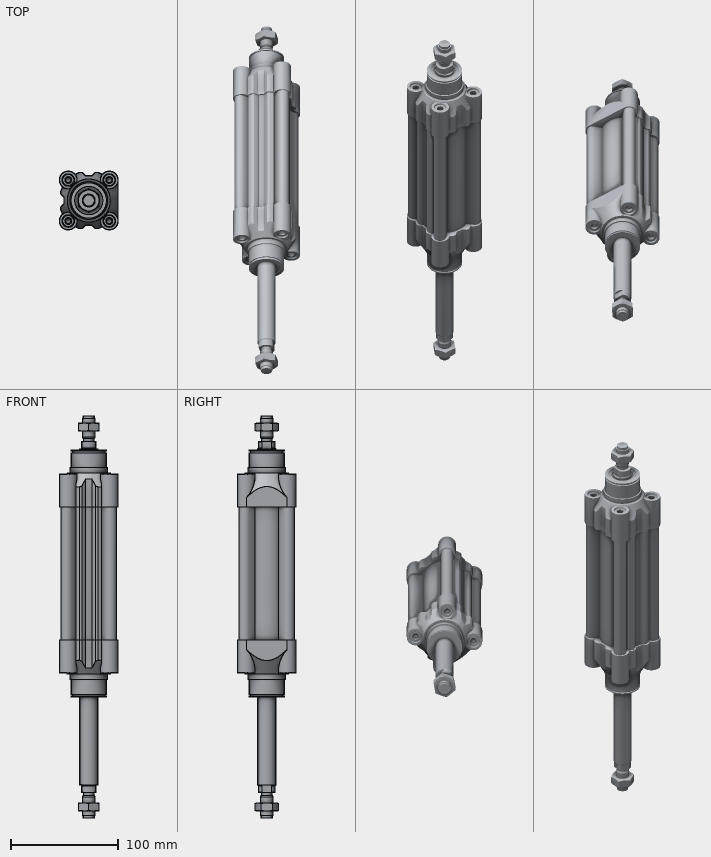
import cadquery as cq
import math

TOP, BOTTOM = 1, -1

total_length = 373.0
cap_width = 54.5
lower_rod_reach = 226.8
upper_rod_reach = total_length - lower_rod_reach

barrel_half_length = 61.5
cap_end = 92.0
shoulder_end = 93.2
collar_end = 98.0
nose_end = 114.5

tube_diameter = 43.3
barrel_lobe_offset = 20.0
barrel_lobe_radius = 5.5
barrel_rib_height = 24.5

cap_lobe_offset = 19.0
cap_lobe_radius = cap_width / 2 - cap_lobe_offset
cap_core_width = 46.3
cap_rib_height = 26.0
port_face_half_width = 18.5
shoulder_diameter = 40.0
shoulder_angle = 30.0
collar_diameter = 35.0
nose_diameter = 33.0
nose_lip = 1.0
nose_groove_width = 1.5
nose_groove_depth = 1.0
nose_recess_diameter = 26.0
nose_recess_depth = 0.7
wiper_gap_diameter = 20.0
wiper_gap_depth = 2.0

rib_inner_foot = 3.0
rib_inner_crest = 6.5
rib_outer_crest = 8.5
rib_outer_foot = 12.0
rib_inner_drop = 3.0
rib_outer_drop = 1.5

screw_recess_diameter = 11.5
screw_floor_diameter = 10.5
screw_recess_depth = 1.5
screw_socket_diameter = 6.5
screw_socket_depth = 5.5
screw_cone_diameter = 5.0
screw_cone_depth = 1.5

rod_diameter = 16.8
flats_diameter = 15.5
flats_width = 13.0
flats_length = 7.0
flats_chamfer_length = 1.0
neck_diameter = 10.0
neck_length = 2.5
thread_diameter = 12.0
thread_length = 24.0
tip_diameter = 10.5
tip_chamfer_length = 2.5
neck_chamfer_length = 1.5

nut_sides = 6
nut_across_flats = 19.0
nut_thickness = 7.5
nut_setback = 6.7
nut_corner_diameter = nut_across_flats / math.cos(math.pi / nut_sides)
nut_face_diameter = 19.5
nut_chamfer_height = 0.7


def cylinder(diameter, bottom, top):
    return cq.Workplane("XY").workplane(offset=bottom).circle(diameter / 2).extrude(top - bottom)


def revolved(points):
    """Solid of revolution about Z from (radius, z) points."""
    return cq.Workplane("XZ").polyline(points).close().revolve(360, (0, 0), (0, 1))


def corner_points(offset):
    return [(x, y) for x in (-offset, offset) for y in (-offset, offset)]


def rib_pair(height, bottom, top):
    """Two ribs along Z on the +Y side, mirrored about the YZ plane, rooted inside the tube."""
    root = height / 2
    profile = [
        (rib_inner_foot, root),
        (rib_inner_foot, height - rib_inner_drop),
        (rib_inner_crest, height),
        (rib_outer_crest, height),
        (rib_outer_foot, height - rib_outer_drop),
        (rib_outer_foot, root),
    ]
    rib = cq.Workplane("XY").workplane(offset=bottom).polyline(profile).close().extrude(top - bottom)
    return rib.union(rib.mirror("YZ"))


def at_end(body, end):
    """The body as built for the top end, or its mirror image for the bottom end."""
    return body if end == TOP else body.mirror("XY")


def make_barrel():
    length = 2 * barrel_half_length
    barrel = cylinder(tube_diameter, -barrel_half_length, barrel_half_length)
    bar_length = 2 * (math.sqrt(2) * barrel_lobe_offset + barrel_lobe_radius)
    for angle in (45, 135):
        bar = (
            cq.Workplane("XY")
            .workplane(offset=-barrel_half_length)
            .slot2D(bar_length, 2 * barrel_lobe_radius, angle)
            .extrude(length)
        )
        barrel = barrel.union(bar)
    ribs = rib_pair(barrel_rib_height, -barrel_half_length, barrel_half_length)
    barrel = barrel.union(ribs).union(ribs.mirror("XZ"))
    return barrel.cut(cylinder(rod_diameter, -barrel_half_length, barrel_half_length))


def cap_lobes():
    """Round corner lobes that hold the cap screws."""
    lobes = cq.Workplane("XY").workplane(offset=barrel_half_length)
    lobes = lobes.pushPoints(corner_points(cap_lobe_offset)).circle(cap_lobe_radius)
    return lobes.extrude(cap_end - barrel_half_length)


def cap_block():
    """Square core with ribs and a flat port face, under the conical shoulder."""
    height = shoulder_end - barrel_half_length
    core = cq.Workplane("XY").workplane(offset=barrel_half_length)
    block = core.rect(cap_core_width, cap_core_width).extrude(height)
    ribs = rib_pair(cap_rib_height, barrel_half_length, shoulder_end)
    for angle in (0, 90, 180):
        block = block.union(ribs.rotate((0, 0, 0), (0, 0, 1), angle))
    port_face = (
        core.center(cap_width / 4, 0).rect(cap_width / 2, 2 * port_face_half_width).extrude(height)
    )
    base_radius = shoulder_diameter / 2 + height * math.tan(math.radians(shoulder_angle))
    shoulder = revolved([
        (0, barrel_half_length),
        (base_radius, barrel_half_length),
        (shoulder_diameter / 2, shoulder_end),
        (0, shoulder_end),
    ])
    return block.union(port_face).intersect(shoulder)


def nose():
    """Collar and nose, with a groove behind its lip and a stepped recess around the rod."""
    nose_radius = nose_diameter / 2
    groove_radius = nose_radius - nose_groove_depth
    groove_top = nose_end - nose_lip
    groove_bottom = groove_top - nose_groove_width
    recess_floor = nose_end - nose_recess_depth
    gap_floor = nose_end - wiper_gap_depth
    return revolved([
        (0, barrel_half_length),
        (collar_diameter / 2, barrel_half_length),
        (collar_diameter / 2, collar_end),
        (nose_radius, collar_end),
        (nose_radius, groove_bottom),
        (groove_radius, groove_bottom),
        (groove_radius, groove_top),
        (nose_radius, groove_top),
        (nose_radius, nose_end),
        (nose_recess_diameter / 2, nose_end),
        (nose_recess_diameter / 2, recess_floor),
        (wiper_gap_diameter / 2, recess_floor),
        (wiper_gap_diameter / 2, gap_floor),
        (0, gap_floor),
    ])


def screw_recess():
    """Cutter for the recess, socket and drill point in one lobe."""
    floor = cap_end - screw_recess_depth
    socket_bottom = cap_end - screw_socket_depth
    return revolved([
        (0, cap_end),
        (screw_recess_diameter / 2, cap_end),
        (screw_floor_diameter / 2, floor),
        (screw_socket_diameter / 2, floor),
        (screw_socket_diameter / 2, socket_bottom),
        (screw_cone_diameter / 2, socket_bottom),
        (0, socket_bottom - screw_cone_depth),
    ])


def make_end_cap(end):
    cap = cap_block().union(cap_lobes()).union(nose())
    for x, y in corner_points(cap_lobe_offset):
        cap = cap.cut(screw_recess().translate((x, y, 0)))
    cap = cap.cut(cylinder(rod_diameter, barrel_half_length, nose_end))
    return at_end(cap, end)


def rod_blank(reach):
    """Turned rod from the centre of the barrel up to its threaded tip, before the flats."""
    shoulder = reach - thread_length
    thread_start = shoulder + neck_length
    thread_radius = thread_diameter / 2
    return revolved([
        (0, 0),
        (rod_diameter / 2, 0),
        (rod_diameter / 2, shoulder - flats_length),
        (flats_diameter / 2, shoulder - flats_length + flats_chamfer_length),
        (flats_diameter / 2, shoulder),
        (neck_diameter / 2, shoulder),
        (neck_diameter / 2, thread_start),
        (thread_radius, thread_start + neck_chamfer_length),
        (thread_radius, reach - tip_chamfer_length),
        (tip_diameter / 2, reach - tip_chamfer_length),
        (tip_diameter / 2, reach),
        (0, reach),
    ])


def make_rod(end, reach):
    """Rod with two wrench flats facing +X and -X."""
    shoulder = reach - thread_length
    flats = cq.Workplane("XY").workplane(offset=shoulder - flats_length)
    around = flats.circle(rod_diameter).extrude(flats_length)
    between = flats.rect(flats_width, 2 * rod_diameter).extrude(flats_length)
    return at_end(rod_blank(reach).cut(around.cut(between)), end)


def make_nut(end, reach):
    """Hexagon nut with flats facing +X and -X and both rims chamfered."""
    top = reach - nut_setback
    bottom = top - nut_thickness
    nut = cq.Workplane("XY").workplane(offset=bottom).polygon(nut_sides, nut_corner_diameter)
    nut = nut.extrude(nut_thickness).rotate((0, 0, 0), (0, 0, 1), 180 / nut_sides)
    rims = revolved([
        (0, bottom),
        (nut_face_diameter / 2, bottom),
        (nut_corner_diameter / 2, bottom + nut_chamfer_height),
        (nut_corner_diameter / 2, top - nut_chamfer_height),
        (nut_face_diameter / 2, top),
        (0, top),
    ])
    nut = nut.intersect(rims).cut(cylinder(thread_diameter, bottom, top))
    return at_end(nut, end)


rod_reaches = {TOP: upper_rod_reach, BOTTOM: lower_rod_reach}

barrel = make_barrel()
end_caps = [make_end_cap(end) for end in (TOP, BOTTOM)]
rods = [make_rod(end, reach) for end, reach in rod_reaches.items()]
nuts = [make_nut(end, reach) for end, reach in rod_reaches.items()]

result = cq.Compound.makeCompound([body.val() for body in [barrel, *end_caps, *rods, *nuts]])